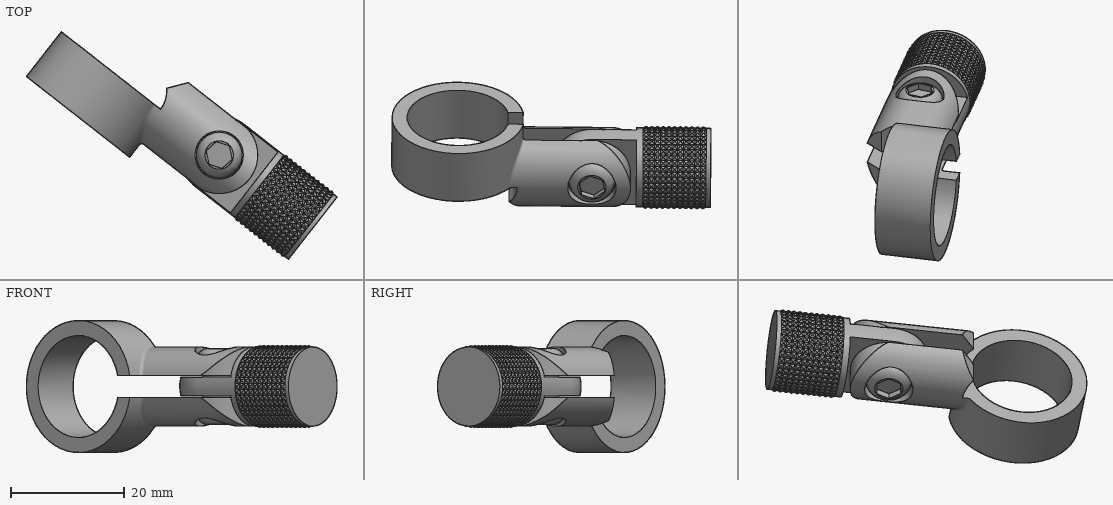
import cadquery as cq
import math

HEADING = -38.0

RING_OUTER_DIA = 23.3
RING_BORE_DIA = 18.0
RING_WIDTH = 10.05
RING_X = -23.7
JOINT_FILLET = 0.55

BODY_DIA = 14.0
SLOT_WIDTH = 3.85
BODY_START_X = -14.8
NOSE_RADIUS = 6.8
NOTCH_RADIUS = 5.15
NOTCH_X = -18.3
HEEL_X = -14.6
HEEL_CHAMFER_X = -12.1

TONGUE_THICKNESS = 3.3
WASHER_DIA = 6.0

COUNTERBORE_DIA = 8.5
COUNTERBORE_FLOOR_Z = 4.4
HEAD_DIA = 8.05
HEAD_RIM_Z = 4.7
HEAD_TOP_Z = 6.7
HEAD_TOP_DIA = 5.0
DOME_BULGE = 0.4
SOCKET_CORNER_DIA = 4.8
SOCKET_DEPTH = 1.2
SOCKET_TURN = 20.0

KNOB_START_X = 7.85
KNURL_START_X = 9.0
KNURL_END_X = 20.1
KNOB_END_X = 20.95
KNURL_DIA = 14.45
KNURL_DEPTH = 0.3
KNURL_TEETH = 42
KNURL_RINGS = 11

body_radius = BODY_DIA / 2


def cylinder_x(diameter, start, end):
    return cq.Workplane("YZ", origin=(start, 0, 0)).circle(diameter / 2).extrude(end - start)


def cylinder_z(diameter, bottom, top):
    return cq.Workplane("XY", origin=(0, 0, bottom)).circle(diameter / 2).extrude(top - bottom)


def slab(thickness, start, end):
    """Flat plate centred on Z = 0, wider than the body."""
    return cq.Workplane("XY").box(end - start, 2 * BODY_DIA, thickness).translate(((start + end) / 2, 0, 0))


def ring_cylinder(diameter):
    """Cylinder on the ring axis, from the ring's back face (Y = 0) to its front face."""
    return cq.Workplane("XZ").center(RING_X, 0).circle(diameter / 2).extrude(RING_WIDTH)


def jaw_stock():
    """Round bar trimmed to the plan outline: notched heel and full-round nose."""
    notch_y = math.sqrt(NOTCH_RADIUS**2 - (HEEL_X - NOTCH_X) ** 2)
    half_sweep = math.atan2(notch_y, HEEL_X - NOTCH_X) / 2
    notch_mid = (NOTCH_X + NOTCH_RADIUS * math.cos(half_sweep), NOTCH_RADIUS * math.sin(half_sweep))
    outline = (
        cq.Workplane("XY", origin=(0, 0, -body_radius))
        .moveTo(BODY_START_X, -NOSE_RADIUS)
        .lineTo(0, -NOSE_RADIUS)
        .threePointArc((NOSE_RADIUS, 0), (0, NOSE_RADIUS))
        .lineTo(HEEL_CHAMFER_X, NOSE_RADIUS)
        .lineTo(HEEL_X, notch_y)
        .threePointArc(notch_mid, (NOTCH_X + NOTCH_RADIUS, 0))
        .lineTo(BODY_START_X, 0)
        .close()
        .extrude(BODY_DIA)
    )
    return cylinder_x(BODY_DIA, BODY_START_X, NOSE_RADIUS).intersect(outline)


def clamp_body():
    body = ring_cylinder(RING_OUTER_DIA).union(jaw_stock())
    joint = cq.selectors.BoxSelector(
        (BODY_START_X, -BODY_DIA, -BODY_DIA),
        (HEEL_CHAMFER_X + JOINT_FILLET, -JOINT_FILLET, BODY_DIA),
    )
    body = body.edges(joint).fillet(JOINT_FILLET)
    body = body.cut(ring_cylinder(RING_BORE_DIA))
    body = body.cut(slab(SLOT_WIDTH, RING_X, KNOB_START_X))
    counterbore = cylinder_z(COUNTERBORE_DIA, COUNTERBORE_FLOOR_Z, body_radius)
    return body.cut(counterbore).cut(counterbore.mirror("XY"))


def tongue():
    nose = cq.Workplane("XY").sphere(body_radius)
    bar = cylinder_x(BODY_DIA, 0, KNURL_START_X)
    return nose.union(bar).intersect(slab(TONGUE_THICKNESS, -body_radius, KNURL_START_X))


def half_screw():
    """Upper half of the screw: washer-sized shank, domed head and hex socket."""
    rim = HEAD_DIA / 2
    top = HEAD_TOP_DIA / 2
    chord = math.hypot(rim - top, HEAD_TOP_Z - HEAD_RIM_Z)
    dome_mid = (
        (rim + top) / 2 + DOME_BULGE * (HEAD_TOP_Z - HEAD_RIM_Z) / chord,
        (HEAD_TOP_Z + HEAD_RIM_Z) / 2 + DOME_BULGE * (rim - top) / chord,
    )
    head = (
        cq.Workplane("XZ")
        .lineTo(WASHER_DIA / 2, 0)
        .lineTo(WASHER_DIA / 2, COUNTERBORE_FLOOR_Z)
        .lineTo(rim, COUNTERBORE_FLOOR_Z)
        .lineTo(rim, HEAD_RIM_Z)
        .threePointArc(dome_mid, (top, HEAD_TOP_Z))
        .lineTo(0, HEAD_TOP_Z)
        .close()
        .revolve(360, (0, 0, 0), (0, 1, 0))
    )
    socket = (
        cq.Workplane("XY", origin=(0, 0, HEAD_TOP_Z - SOCKET_DEPTH))
        .polygon(6, SOCKET_CORNER_DIA)
        .extrude(SOCKET_DEPTH)
        .rotate((0, 0, 0), (0, 0, 1), SOCKET_TURN)
    )
    return head.cut(socket)


def knurl():
    """Pyramid knurl: a fluted prism crossed with a stack of V rings."""
    crest = KNURL_DIA / 2
    root = crest - KNURL_DEPTH
    flutes = []
    for i in range(2 * KNURL_TEETH):
        angle = math.pi * i / KNURL_TEETH
        radius = root if i % 2 else crest
        flutes.append((radius * math.cos(angle), radius * math.sin(angle)))
    length = KNURL_END_X - KNURL_START_X
    prism = cq.Workplane("YZ", origin=(KNURL_START_X, 0, 0)).polyline(flutes).close().extrude(length)

    half_pitch = length / KNURL_RINGS / 2
    profile = cq.Workplane("XY").moveTo(KNURL_START_X, 0).lineTo(KNURL_START_X, root)
    for i in range(1, 2 * KNURL_RINGS + 1):
        profile = profile.lineTo(KNURL_START_X + i * half_pitch, crest if i % 2 else root)
    rings = profile.lineTo(KNURL_END_X, 0).close().revolve(360, (0, 0, 0), (1, 0, 0))
    return prism.intersect(rings)


def knob():
    collar = cylinder_x(BODY_DIA, KNOB_START_X, KNURL_START_X)
    end_band = cylinder_x(BODY_DIA, KNURL_END_X, KNOB_END_X)
    return knurl().union(collar).union(end_band)


upper_screw = half_screw()
result = (
    clamp_body()
    .union(tongue())
    .union(upper_screw)
    .union(upper_screw.mirror("XY"))
    .union(knob())
    .rotate((0, 0, 0), (0, 0, 1), HEADING)
)